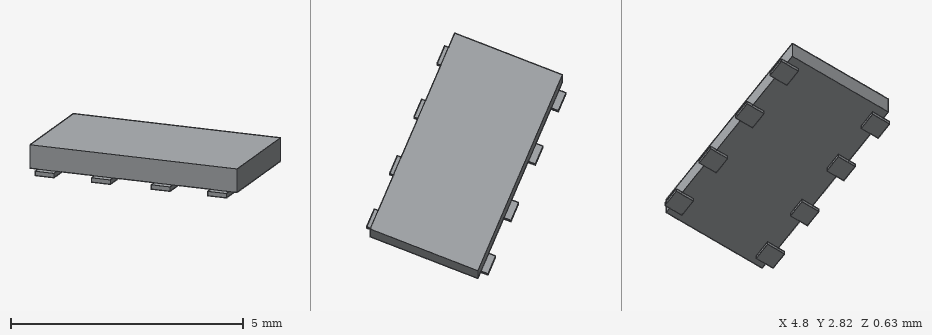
import cadquery as cq

BODY_LENGTH = 4.8
BODY_WIDTH = 2.5
OVERALL_WIDTH = 2.82
OVERALL_HEIGHT = 0.63

TERMINAL_WIDTH = 0.435
TERMINAL_LENGTH = 0.44
TERMINAL_THICKNESS = 0.1
INNER_TERMINAL_X = 0.69
OUTER_TERMINAL_X = 1.995

BODY_HEIGHT = OVERALL_HEIGHT - TERMINAL_THICKNESS
TERMINAL_Y = (OVERALL_WIDTH - TERMINAL_LENGTH) / 2


def make_body():
    """Plain block resting on top of the terminals."""
    return (
        cq.Workplane("XY")
        .workplane(offset=TERMINAL_THICKNESS)
        .rect(BODY_LENGTH, BODY_WIDTH)
        .extrude(BODY_HEIGHT)
    )


def make_terminal(x, y):
    """Flat terminal centred at (x, y), with its underside at Z = 0."""
    return (
        cq.Workplane("XY")
        .center(x, y)
        .rect(TERMINAL_WIDTH, TERMINAL_LENGTH)
        .extrude(TERMINAL_THICKNESS)
    )


body = make_body()

terminals = []
for terminal_y in (-TERMINAL_Y, TERMINAL_Y):
    for terminal_x in (-OUTER_TERMINAL_X, -INNER_TERMINAL_X, INNER_TERMINAL_X, OUTER_TERMINAL_X):
        terminals.append(make_terminal(terminal_x, terminal_y).val())

result = cq.Compound.makeCompound([body.val(), *terminals])